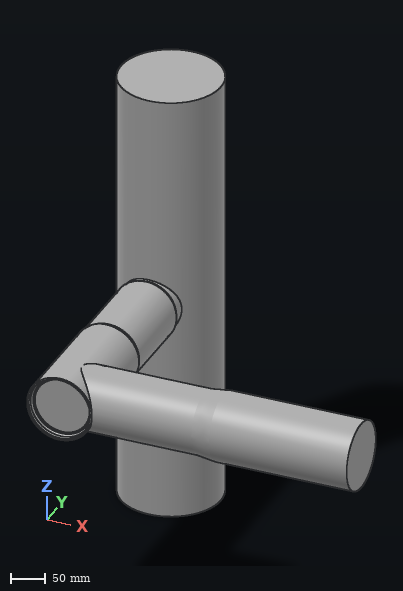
import cadquery as cq

column_radius = 80.0
column_height = 700.0

tube_radius = 50.0

branch_x = -1.1
neck_radius = 47.0
neck_end = 85.0
cone_length = 6.0
cone_start_radius = 46.0
branch_tube_start = neck_end + cone_length
branch_tube_end = 228.5
sleeve_radius = 52.0
sleeve_start = branch_tube_end + cone_length

arm_distance = 358.1
grip_radius = 54.0
taper_start = 210.0
taper_length = 30.0
taper_end = taper_start + taper_length
arm_end = 460.81

sleeve_end = arm_distance + tube_radius

sleeve_wall = 3.0
mouth_radius = sleeve_radius - sleeve_wall
mouth_depth = 6.0
recess_cone_end_radius = 46.0
recess_cone_depth = 9.0
recess_floor_radius = 44.0
recess_floor_depth = 11.0


def revolve_about_branch(points):
    """Revolve an outline of (radius, distance from column axis) about the branch axis."""
    outline = [(radius, -distance) for radius, distance in points]
    solid = cq.Workplane("XY").polyline(outline).close().revolve(360, (0, 0, 0), (0, 1, 0))
    return solid.translate((branch_x, 0, 0))


def make_column():
    return cq.Workplane("XY").circle(column_radius).extrude(column_height / 2, both=True)


def make_branch():
    """Neck, small step, cone up to the tube, and the larger sleeve."""
    return revolve_about_branch([
        (0, 0),
        (neck_radius, 0),
        (neck_radius, neck_end),
        (cone_start_radius, neck_end),
        (tube_radius, branch_tube_start),
        (tube_radius, branch_tube_end),
        (sleeve_radius, sleeve_start),
        (sleeve_radius, sleeve_end),
        (0, sleeve_end),
    ])


def make_arm():
    """Plain tube that tapers up to the larger grip."""
    profile = cq.Workplane("XY").polyline([
        (0, 0),
        (0, tube_radius),
        (taper_start, tube_radius),
        (taper_end, grip_radius),
        (arm_end, grip_radius),
        (arm_end, 0),
    ]).close()
    return profile.revolve(360, (0, 0, 0), (1, 0, 0)).translate((0, -arm_distance, 0))


def make_recess():
    """Cutter: cylindrical mouth, cone, then a shallow step down to the floor."""
    return revolve_about_branch([
        (0, sleeve_end),
        (mouth_radius, sleeve_end),
        (mouth_radius, sleeve_end - mouth_depth),
        (recess_cone_end_radius, sleeve_end - recess_cone_depth),
        (recess_floor_radius, sleeve_end - recess_cone_depth),
        (recess_floor_radius, sleeve_end - recess_floor_depth),
        (0, sleeve_end - recess_floor_depth),
    ])


result = make_column().union(make_branch()).union(make_arm()).cut(make_recess())